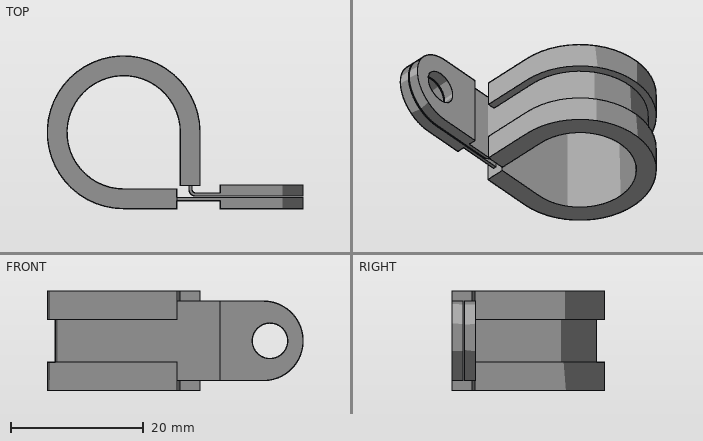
import cadquery as cq
import math


bore_radius = 8.5
cushion_thickness = 3.0
cushion_width = 15.0
leg_length = 8.0
cushion_radius = bore_radius + cushion_thickness

channel_depth = 1.2
channel_width = 6.4

strap_thickness = 0.5
strap_width = 12.0
strap_outer_radius = cushion_radius - channel_depth
strap_inner_radius = strap_outer_radius - strap_thickness
bend_inner_radius = 0.5
bend_outer_radius = bend_inner_radius + strap_thickness

tab_start_x = 14.5
tab_end_x = 27.0
tab_gap = 0.2
tab_end_radius = strap_width / 2
tab_arc_x = tab_end_x - tab_end_radius
bolt_hole_diameter = 5.3
bolt_hole_x = 22.0

lower_tab_bottom = -cushion_radius
lower_tab_top = -strap_inner_radius
tab_thickness = lower_tab_top - lower_tab_bottom
upper_tab_bottom = lower_tab_top + tab_gap


def loop_band(outer_radius, inner_radius, width):
    """Three-quarter ring with a straight leg along +X and another along -Y, centred on Z = 0."""
    outer_mid = -outer_radius * math.sqrt(0.5)
    inner_mid = -inner_radius * math.sqrt(0.5)
    return (
        cq.Workplane("XY")
        .moveTo(outer_radius, -leg_length)
        .lineTo(outer_radius, 0)
        .threePointArc((outer_mid, -outer_mid), (0, -outer_radius))
        .lineTo(leg_length, -outer_radius)
        .lineTo(leg_length, -inner_radius)
        .lineTo(0, -inner_radius)
        .threePointArc((inner_mid, -inner_mid), (inner_radius, 0))
        .lineTo(inner_radius, -leg_length)
        .close()
        .extrude(width / 2, both=True)
    )


def strap_run(start_x, bottom_y):
    """Flat piece of strap from start_x to the tab."""
    return cq.Workplane("XY").box(
        tab_start_x - start_x, strap_thickness, strap_width, centered=(False, False, True)
    ).translate((start_x, bottom_y, 0))


def strap_bend():
    """Quarter bend that turns the -Y leg of the strap towards the upper tab."""
    bend_x = strap_inner_radius + bend_outer_radius
    bend_y = upper_tab_bottom + bend_outer_radius
    outer_mid = bend_outer_radius * math.sqrt(0.5)
    inner_mid = bend_inner_radius * math.sqrt(0.5)
    return (
        cq.Workplane("XY")
        .moveTo(strap_inner_radius, -leg_length)
        .lineTo(strap_inner_radius, bend_y)
        .threePointArc((bend_x - outer_mid, bend_y - outer_mid), (bend_x, upper_tab_bottom))
        .lineTo(bend_x, upper_tab_bottom + strap_thickness)
        .threePointArc((bend_x - inner_mid, bend_y - inner_mid), (strap_outer_radius, bend_y))
        .lineTo(strap_outer_radius, -leg_length)
        .close()
        .extrude(strap_width / 2, both=True)
    )


def tab(bottom_y):
    """Round-ended bolting tab with its underside at bottom_y."""
    outline = (
        cq.Workplane("XZ", origin=(0, bottom_y, 0))
        .moveTo(tab_start_x, -tab_end_radius)
        .lineTo(tab_arc_x, -tab_end_radius)
        .threePointArc((tab_end_x, 0), (tab_arc_x, tab_end_radius))
        .lineTo(tab_start_x, tab_end_radius)
        .close()
        .moveTo(bolt_hole_x, 0)
        .circle(bolt_hole_diameter / 2)
    )
    return outline.extrude(-tab_thickness)


cushion = loop_band(cushion_radius, bore_radius, cushion_width)
channel = loop_band(cushion_radius, strap_outer_radius, channel_width)

strap = loop_band(strap_outer_radius, strap_inner_radius, strap_width)
lower_end = strap_run(leg_length, -strap_outer_radius).union(tab(lower_tab_bottom))
upper_run = strap_run(strap_inner_radius + bend_outer_radius, upper_tab_bottom)
upper_end = strap_bend().union(upper_run).union(tab(upper_tab_bottom))

result = cushion.cut(channel).union(strap).union(lower_end).union(upper_end)